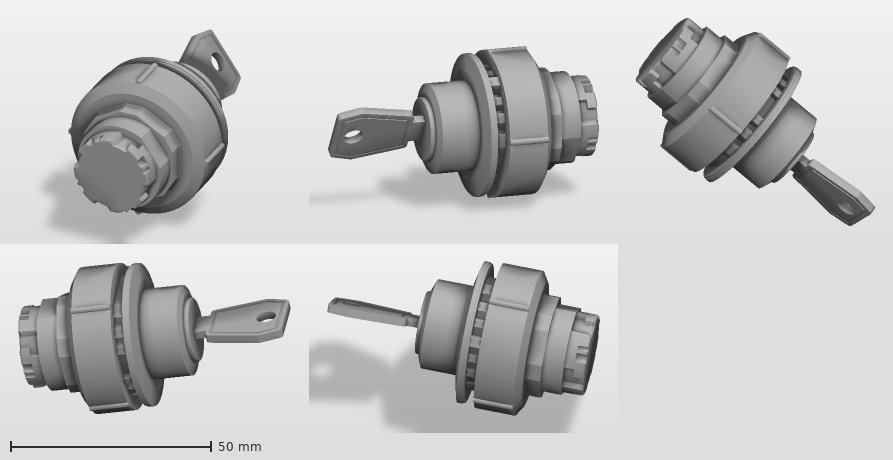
import cadquery as cq
import math

KEY_TILT = 35.0

CAP_RADIUS = 10.3
CAP_ROUNDING = 0.6
CAP_TOP = 5.2
CUT_MARGIN = 1.3
NOTCH_COUNT = 4
NOTCH_FLOOR_RADIUS = 9.25
NOTCH_LOCK_Y = 2.65
NOTCH_OUTLINE = ((0.4, 10.3), 82, 66, (4.7, 9.4))
LOCK_OUTLINE = ((0.4, 10.3), 82, 53, (6.6, 8.1))
MOUTH_FLOOR_RADIUS = 8.9
MOUTH_OUTLINE = ((-0.25, 10.25), 87, 62, (5.4, 8.9))
POCKET_CENTRE = (8.65, 5.85)
POCKET_RADIUS = 1.2
SCALLOP_CENTRE = (9.6, 3.6)
SCALLOP_RADIUS = 0.65

BODY_RADIUS = 23.0 / 2
BODY_FLAT_DISTANCE = 10.55
BODY_TOP = 10.4

HEX_SIDES = 6
HEX_FLATS = 24.25
HEX_CORNER_FLATS = 25.4
HEX_FLARE_GROWTH = 0.9
HEX_FLARE_HEIGHT = 0.45

RING_BOTTOM = 14.35
RING_BEVEL_TOP = 15.95
RING_TOP = 26.0
RING_RADIUS = 18.5
RING_BEVEL_RADIUS = 15.95
RIB_COUNT = 4
RIB_RADIUS = 0.8
RIB_TIP_RADIUS = 38.5 / 2

NECK_RADIUS = 15.15
NECK_CORE_RADIUS = 12.9
NECK_FLAT_DISTANCE = 13.5
TOOTH_WIDTH = 2.0
TOOTH_PITCH = 4.0
TOOTH_ROWS = 3
LUG_WIDTH = 2.7
LUG_REACH = 16.7
WEB_TOP_RADIUS = 29.0 / 2
WEB_BOTTOM_RADIUS = 13.75
WEB_WIDTH = 11.95

FLANGE_BOTTOM = 28.85
FLANGE_STEP_Y = 29.4
FLANGE_RIM_TOP = 30.65
FLANGE_TOP = 31.6
FLANGE_STEP_RADIUS = 35.5 / 2
FLANGE_RADIUS = 36.0 / 2
FLANGE_TOP_RADIUS = 13.95

BARREL_RADIUS = 22.7 / 2
BARREL_TOP = 41.25
SHOULDER_TOP = 42.1
SHOULDER_RADIUS = 9.3
PLUG_RADIUS = 16.0 / 2
PLUG_TOP = 43.4
PLUG_CHAMFER = 0.2

KEY_TIP = 66.45
KEY_THICKNESS = 2.1
KEY_OFFSET = 0.6
STEM_WIDTH = 7.25
HEAD_BOTTOM = 46.6
HEAD_WIDEST_Y = 60.7
HEAD_BOTTOM_WIDTH = 11.95
HEAD_WIDEST_WIDTH = 17.8
HEAD_TIP_WIDTH = 14.5
HEAD_CORNER_RADIUS = 1.1
KEY_HOLE_DIAMETER = 5.0
KEY_HOLE_Y = 61.5
GROOVE_INSET = 1.0
GROOVE_WIDTH = 0.7
GROOVE_DEPTH = 0.2


def turned(profile):
    """Revolve a closed (radius, y) profile about the Y axis."""
    return cq.Workplane("XY").polyline(profile).close().revolve(360, (0, 0, 0), (0, 1, 0))


def cross_section(y):
    """XZ workplane at height y, facing -Y so that extrusions run toward the contact end."""
    return cq.Workplane("XZ", origin=(0, y, 0))


def cylinder(radius, y_from, y_to):
    return cross_section(y_to).circle(radius).extrude(y_to - y_from)


def block(x_from, x_to, z_from, z_to, y_from, y_to):
    return (
        cross_section(y_to)
        .moveTo(x_from, z_from)
        .lineTo(x_to, z_from)
        .lineTo(x_to, z_to)
        .lineTo(x_from, z_to)
        .close()
        .extrude(y_to - y_from)
    )


def turn(solid, angle):
    """Rotate about the axis, from +X toward +Z."""
    return solid.rotate((0, 0, 0), (0, -1, 0), angle)


def on_circle(radius, degrees):
    angle = math.radians(degrees)
    return (radius * math.cos(angle), radius * math.sin(angle))


def draw_notch(plane, outline, floor_radius):
    """Notch wire: open end, slanted wall, arc floor between two angles, slanted wall."""
    lead, start_angle, end_angle, tail = outline
    outer = CAP_RADIUS + CUT_MARGIN
    return (
        plane.moveTo(*lead)
        .lineTo(*on_circle(floor_radius, start_angle))
        .threePointArc(
            on_circle(floor_radius, (start_angle + end_angle) / 2),
            on_circle(floor_radius, end_angle),
        )
        .lineTo(*tail)
        .lineTo(tail[0], outer)
        .lineTo(lead[0], outer)
        .close()
    )


def make_notches():
    """One quarter of the cap cut-outs: bayonet notch, lock undercut, pocket and scallop."""
    entry = draw_notch(cross_section(CAP_TOP), NOTCH_OUTLINE, NOTCH_FLOOR_RADIUS).extrude(CAP_TOP)
    undercut = draw_notch(cross_section(CAP_TOP), LOCK_OUTLINE, NOTCH_FLOOR_RADIUS).extrude(
        CAP_TOP - NOTCH_LOCK_Y
    )
    narrow_end = draw_notch(cross_section(CAP_ROUNDING), NOTCH_OUTLINE, NOTCH_FLOOR_RADIUS)
    mouth = draw_notch(
        narrow_end.workplane(offset=CAP_ROUNDING), MOUTH_OUTLINE, MOUTH_FLOOR_RADIUS
    ).loft(ruled=True)
    pocket = cylinder(POCKET_RADIUS, 0, NOTCH_LOCK_Y).translate(
        (POCKET_CENTRE[0], 0, POCKET_CENTRE[1])
    )
    scallop = cylinder(SCALLOP_RADIUS, 0, NOTCH_LOCK_Y).translate(
        (SCALLOP_CENTRE[0], 0, SCALLOP_CENTRE[1])
    )
    return entry.union(undercut).union(mouth).union(pocket).union(scallop)


def make_cap():
    cap = cylinder(CAP_RADIUS, 0, CAP_TOP).faces("<Y").edges().fillet(CAP_ROUNDING)
    notches = make_notches()
    for index in range(NOTCH_COUNT):
        cap = cap.cut(turn(notches, index * 360 / NOTCH_COUNT))
    return cap


def make_body():
    body = cylinder(BODY_RADIUS, CAP_TOP, BODY_TOP)
    between_flats = block(
        -BODY_FLAT_DISTANCE, BODY_FLAT_DISTANCE, -BODY_RADIUS, BODY_RADIUS, CAP_TOP, BODY_TOP
    )
    return body.intersect(turn(between_flats, KEY_TILT))


def hex_outline(growth):
    """Corners of the truncated hexagon, with all distances across flats grown equally."""
    flat = (HEX_FLATS + growth) / 2
    corner_flat = (HEX_CORNER_FLATS + growth) / 2
    half_angle = math.pi / HEX_SIDES
    half_corner = (flat - corner_flat * math.cos(half_angle)) / math.sin(half_angle)
    points = []
    for index in range(HEX_SIDES):
        angle = half_angle * (2 * index + 1)
        for side in (-half_corner, half_corner):
            x = corner_flat * math.cos(angle) - side * math.sin(angle)
            z = corner_flat * math.sin(angle) + side * math.cos(angle)
            points.append((x, z))
    return points


def make_nut():
    nut = cross_section(RING_BOTTOM).polyline(hex_outline(0)).close().extrude(RING_BOTTOM - BODY_TOP)
    flare = (
        cross_section(RING_BOTTOM)
        .polyline(hex_outline(HEX_FLARE_GROWTH))
        .close()
        .workplane(offset=HEX_FLARE_HEIGHT)
        .polyline(hex_outline(0))
        .close()
        .loft(ruled=True)
    )
    return nut.union(flare)


def make_ring():
    ring = turned([
        (0, RING_BOTTOM),
        (RING_BEVEL_RADIUS, RING_BOTTOM),
        (RING_RADIUS, RING_BEVEL_TOP),
        (RING_RADIUS, RING_TOP),
        (0, RING_TOP),
    ])
    rib = cylinder(RIB_RADIUS, RING_BEVEL_TOP, RING_TOP).translate((RIB_TIP_RADIUS - RIB_RADIUS, 0, 0))
    for index in range(RIB_COUNT):
        ring = ring.union(turn(rib, index * 360 / RIB_COUNT))
    return ring


def make_neck():
    """Core with parallel teeth, two outer flats, conical webs on the flats and one lug."""
    lug = block(-LUG_WIDTH / 2, LUG_WIDTH / 2, 0, LUG_REACH, RING_TOP, FLANGE_BOTTOM)
    neck = cylinder(NECK_CORE_RADIUS, RING_TOP, FLANGE_BOTTOM)
    outer = cylinder(NECK_RADIUS, RING_TOP, FLANGE_BOTTOM)
    for row in range(TOOTH_ROWS):
        far_side = NECK_FLAT_DISTANCE - (TOOTH_ROWS - 1 - row) * TOOTH_PITCH
        for start in (far_side - TOOTH_WIDTH, -far_side):
            tooth = block(
                start, start + TOOTH_WIDTH, -NECK_RADIUS, NECK_RADIUS, RING_TOP, FLANGE_BOTTOM
            )
            neck = neck.union(tooth.intersect(outer))
    web = turned([
        (0, RING_TOP),
        (WEB_BOTTOM_RADIUS, RING_TOP),
        (WEB_TOP_RADIUS, FLANGE_BOTTOM),
        (0, FLANGE_BOTTOM),
    ])
    web_band = block(
        -NECK_RADIUS, NECK_RADIUS, -WEB_WIDTH / 2, WEB_WIDTH / 2, RING_TOP, FLANGE_BOTTOM
    )
    return turn(neck.union(web.intersect(web_band)).union(lug), KEY_TILT)


def make_head():
    """Flange, barrel and lock plug as one turned piece."""
    return turned([
        (0, FLANGE_BOTTOM),
        (FLANGE_STEP_RADIUS, FLANGE_BOTTOM),
        (FLANGE_STEP_RADIUS, FLANGE_STEP_Y),
        (FLANGE_RADIUS, FLANGE_STEP_Y),
        (FLANGE_RADIUS, FLANGE_RIM_TOP),
        (FLANGE_TOP_RADIUS, FLANGE_TOP),
        (BARREL_RADIUS, FLANGE_TOP),
        (BARREL_RADIUS, BARREL_TOP),
        (SHOULDER_RADIUS, SHOULDER_TOP),
        (PLUG_RADIUS, SHOULDER_TOP),
        (PLUG_RADIUS, PLUG_TOP - PLUG_CHAMFER),
        (PLUG_RADIUS - PLUG_CHAMFER, PLUG_TOP),
        (0, PLUG_TOP),
    ])


def key_head_outline(x):
    return cq.Workplane("YZ", origin=(x, 0, KEY_OFFSET)).polyline([
        (HEAD_BOTTOM, -HEAD_BOTTOM_WIDTH / 2),
        (HEAD_WIDEST_Y, -HEAD_WIDEST_WIDTH / 2),
        (KEY_TIP, -HEAD_TIP_WIDTH / 2),
        (KEY_TIP, HEAD_TIP_WIDTH / 2),
        (HEAD_WIDEST_Y, HEAD_WIDEST_WIDTH / 2),
        (HEAD_BOTTOM, HEAD_BOTTOM_WIDTH / 2),
    ]).close()


def make_key():
    half = KEY_THICKNESS / 2
    head = key_head_outline(-half).extrude(KEY_THICKNESS).edges("|X").fillet(HEAD_CORNER_RADIUS)
    for floor in (-half, half - GROOVE_DEPTH):
        groove_outer = key_head_outline(floor).offset2D(-GROOVE_INSET).extrude(GROOVE_DEPTH)
        island = key_head_outline(floor).offset2D(-GROOVE_INSET - GROOVE_WIDTH).extrude(GROOVE_DEPTH)
        head = head.cut(groove_outer.cut(island))
    hole = (
        cq.Workplane("YZ", origin=(-half, KEY_HOLE_Y, KEY_OFFSET))
        .circle(KEY_HOLE_DIAMETER / 2)
        .extrude(KEY_THICKNESS)
    )
    stem = block(
        -half, half, KEY_OFFSET - STEM_WIDTH / 2, KEY_OFFSET + STEM_WIDTH / 2, PLUG_TOP, HEAD_BOTTOM
    )
    return turn(head.cut(hole).union(stem), KEY_TILT)


result = make_cap()
for component in (make_body(), make_nut(), make_ring(), make_neck(), make_head(), make_key()):
    result = result.union(component)